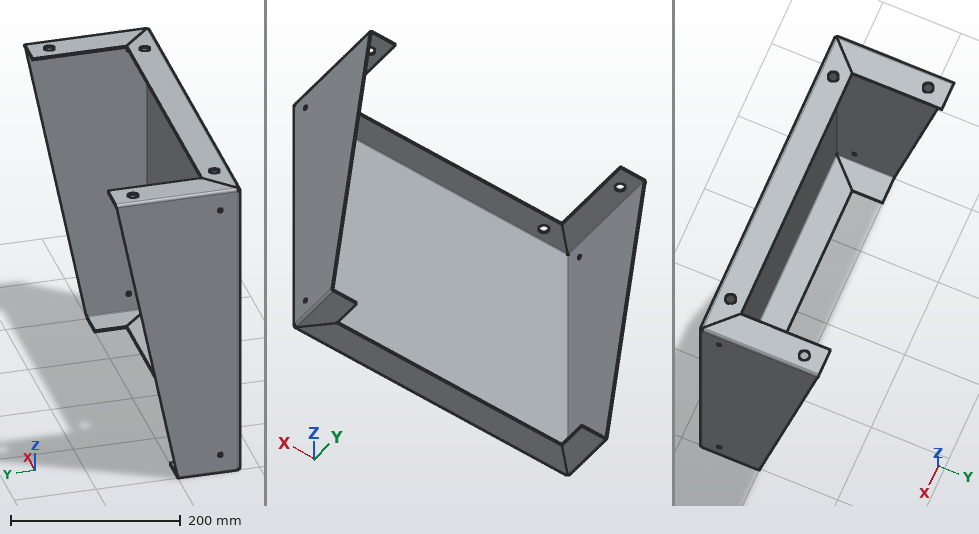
import cadquery as cq
import math

width = 406.5
depth = 152.5
height = 381.0
bottom_depth = 76.5

thickness = 2.65
inner_bend_radius = 1.0
outer_bend_radius = thickness + inner_bend_radius

flange_width = 37.5
miter_gap = 0.2
miter_angle = 45

flange_hole_diameter = 12.5
flange_hole_inset = 18.5
rear_hole_from_back = 25.5
front_hole_from_side = 50.0
side_hole_diameter = 5.3
side_hole_from_front = 25.0
side_hole_from_end = 25.5

half_width = width / 2


def rounded_block(inset, bend_radius):
    """Block inset from the outer faces, open-ended at the back, with every bend rounded."""
    block = (
        cq.Workplane("XY")
        .box(width - 2 * inset, 2 * depth, height - 2 * inset, centered=(True, False, False))
        .translate((0, inset, inset))
    )
    front_edges = block.faces("<Y").edges()
    return front_edges.add(block.edges("|Y")).fillet(bend_radius)


def side_profile():
    """Side outline: the back edge slopes from corner to corner, but the bends end square."""
    slope = (depth - bottom_depth) / height
    slope_run = slope * outer_bend_radius
    return (
        cq.Workplane("YZ")
        .polyline([
            (0, 0),
            (bottom_depth, 0),
            (bottom_depth, outer_bend_radius),
            (bottom_depth + slope_run, outer_bend_radius),
            (depth - slope_run, height - outer_bend_radius),
            (depth, height - outer_bend_radius),
            (depth, height),
            (0, height),
        ])
        .close()
        .extrude(half_width, both=True)
    )


def flange_opening():
    """Vertical opening that leaves a flange of constant width along three sides."""
    return (
        cq.Workplane("XY")
        .box(width - 2 * flange_width, 2 * depth, height, centered=(True, False, False))
        .translate((0, flange_width, 0))
    )


def corner_relief(side):
    """Open front corner and miter slit between the front and side flanges, top and bottom."""
    corner = (
        cq.Workplane("XY")
        .box(outer_bend_radius, outer_bend_radius, outer_bend_radius, centered=(True, False, False))
        .translate((side * (half_width - outer_bend_radius / 2), 0, 0))
    )
    slit_length = 2 * math.sqrt(2) * flange_width
    slit = (
        cq.Workplane("XY")
        .box(slit_length, miter_gap, outer_bend_radius, centered=(True, True, False))
        .rotate((0, 0, 0), (0, 0, 1), -side * miter_angle)
        .translate((side * half_width, 0, 0))
    )
    bottom = corner.union(slit)
    return bottom.union(bottom.translate((0, 0, height - outer_bend_radius)))


def top_flange_holes():
    """Two holes near the back of the side flanges and two in the front flange."""
    rear_x = half_width - flange_hole_inset
    front_x = half_width - front_hole_from_side
    centers = []
    for side in (-1, 1):
        centers.append((side * rear_x, depth - rear_hole_from_back))
        centers.append((side * front_x, flange_hole_inset))
    return (
        cq.Workplane("XY", origin=(0, 0, height - outer_bend_radius))
        .pushPoints(centers)
        .circle(flange_hole_diameter / 2)
        .extrude(outer_bend_radius)
    )


def side_holes():
    """Small holes near the front of both sides, one above the other."""
    heights = (side_hole_from_end, height - side_hole_from_end)
    return (
        cq.Workplane("YZ")
        .pushPoints([(side_hole_from_front, z) for z in heights])
        .circle(side_hole_diameter / 2)
        .extrude(half_width, both=True)
    )


cover = rounded_block(0, outer_bend_radius).cut(rounded_block(thickness, inner_bend_radius))
cover = cover.intersect(side_profile()).cut(flange_opening())
for side in (-1, 1):
    cover = cover.cut(corner_relief(side))
result = cover.cut(top_flange_holes()).cut(side_holes())